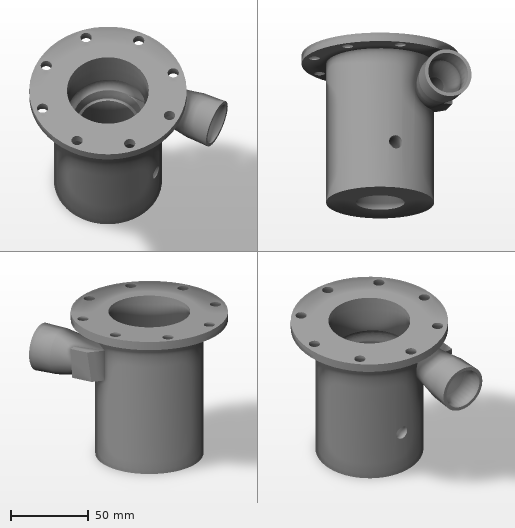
import cadquery as cq
import math

total_length = 116.3
total_height = 99.1
body_radius = 34.9

flange_diameter = 101.5
flange_radius = flange_diameter / 2
flange_thickness = 5.7
bolt_circle_radius = 44.4
bolt_hole_radius = 3.6
bolt_count = 8

chamber_radius = 26.4
crest_radius = 22.6
funnel_radius = 20.6
throat_radius = 18.7
outlet_radius = 15.7
chamber_depth = 30.9
funnel_depth = 37.2
throat_length = 38.4

inlet_y = 26.0
inlet_depth = 28.5
inlet_z = total_height - inlet_depth
mouth_x = total_length - flange_radius
socket_x = 50.3
neck_x = 35.8
root_radius = 9.3
neck_radius = 12.8
socket_radius = 15.2
mouth_radius = 15.7
neck_bore_radius = 5.7
pipe_wall = 2.3

volute_start_radius = 4.3
volute_end_radius = 1.0
volute_section_count = 13
volute_sweep = math.radians(262)
volute_drop = chamber_depth - inlet_depth
volute_inner_radius = inlet_y - volute_start_radius

block_half_height = 10.5
block_drop = 0.9
block_z = inlet_z - block_drop
block_top_y = 39.9
block_bottom_y = 37.8
block_face_offset = 16.3

port_radius = 4.4
port_z = 30.7


def revolve_about_inlet(points):
    """Revolve (x, radius) points about the inlet pipe axis."""
    start_x = points[0][0]
    end_x = points[-1][0]
    outline = [(start_x, 0), *points, (end_x, 0)]
    pipe = cq.Workplane("XY").polyline(outline).close().revolve(360, (0, 0, 0), (1, 0, 0))
    return pipe.translate((0, inlet_y, inlet_z))


def make_flanged_body():
    body = cq.Workplane("XY").circle(body_radius).extrude(total_height)
    flange = (
        cq.Workplane("XY")
        .workplane(offset=total_height - flange_thickness)
        .circle(flange_radius)
        .extrude(flange_thickness)
    )
    return body.union(flange)


def make_bolt_holes():
    return (
        cq.Workplane("XY")
        .workplane(offset=total_height - flange_thickness)
        .polarArray(bolt_circle_radius, 0, 360, bolt_count)
        .circle(bolt_hole_radius)
        .extrude(flange_thickness)
    )


def make_inlet_pipe():
    return revolve_about_inlet([
        (0, root_radius),
        (neck_x, neck_radius),
        (socket_x, socket_radius),
        (mouth_x, mouth_radius),
    ])


def make_inlet_bore():
    return revolve_about_inlet([
        (0, volute_start_radius),
        (neck_x, neck_bore_radius),
        (socket_x, socket_radius - pipe_wall),
        (mouth_x, mouth_radius - pipe_wall),
    ])


def make_corner_block():
    """Block along the pipe whose outer side leans out towards the top."""
    return (
        cq.Workplane("YZ")
        .polyline([
            (inlet_y, block_z - block_half_height),
            (block_bottom_y, block_z - block_half_height),
            (block_top_y, block_z + block_half_height),
            (inlet_y, block_z + block_half_height),
        ])
        .close()
        .extrude(neck_x)
    )


def make_corner_cutter():
    """Everything behind the 45 degree vertical plane y - x = block_face_offset."""
    reach = neck_x + block_face_offset
    return (
        cq.Workplane("XY")
        .polyline([(0, block_face_offset), (neck_x, reach), (0, reach)])
        .close()
        .extrude(total_height)
    )


def make_main_bore():
    chamber_z = total_height - chamber_depth
    funnel_z = total_height - funnel_depth
    outlet_z = funnel_z - throat_length
    profile = [
        (0, 0),
        (outlet_radius, 0),
        (outlet_radius, outlet_z),
        (throat_radius, funnel_z),
        (funnel_radius, funnel_z),
        (crest_radius, chamber_z),
        (chamber_radius, chamber_z),
        (chamber_radius, total_height),
        (0, total_height),
    ]
    return cq.Workplane("XZ").polyline(profile).close().revolve(360, (0, 0, 0), (0, 1, 0))


def make_volute():
    """Spiral from the inlet around the -X side, keeping its inner edge radius constant."""
    def section(share):
        radius = volute_start_radius + share * (volute_end_radius - volute_start_radius)
        path_radius = volute_inner_radius + radius
        angle = math.pi / 2 + share * volute_sweep
        center = cq.Vector(
            path_radius * math.cos(angle),
            path_radius * math.sin(angle),
            inlet_z - share * volute_drop,
        )
        tangent = cq.Vector(-math.sin(angle), math.cos(angle), 0)
        return cq.Wire.makeCircle(radius, center, tangent)

    sections = [section(i / (volute_section_count - 1)) for i in range(volute_section_count)]
    return cq.Workplane(cq.Solid.makeLoft(sections))


def make_port():
    return cq.Workplane("YZ").center(0, port_z).circle(port_radius).extrude(body_radius)


inlet = make_inlet_pipe().union(make_corner_block()).cut(make_corner_cutter())
result = make_flanged_body().union(inlet)
hollows = [make_main_bore(), make_inlet_bore(), make_volute(), make_port(), make_bolt_holes()]
for hollow in hollows:
    result = result.cut(hollow)